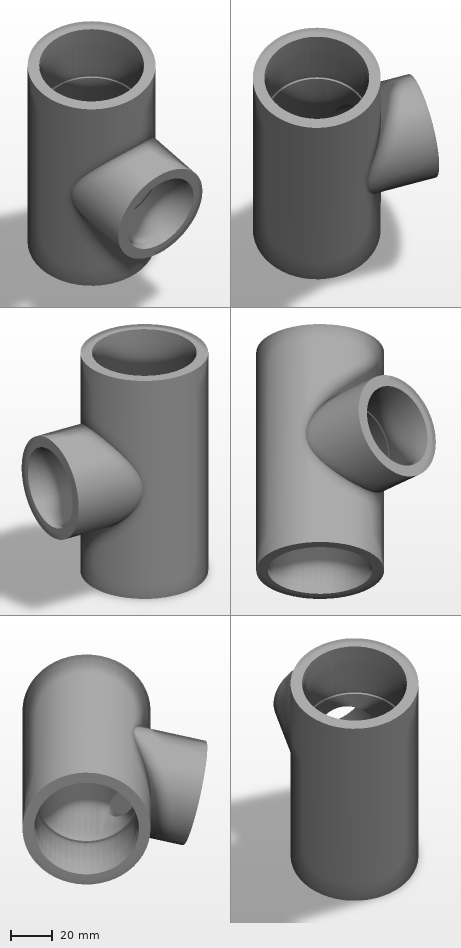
import cadquery as cq

run_length = 116.0
run_diameter = 61.0
run_bore = 48.0
run_socket_diameter = 50.0
run_socket_depth = 31.0

branch_reach = 53.0
branch_diameter = 51.0
branch_bore = 38.0
branch_socket_diameter = 40.0
branch_socket_depth = 26.0


def run_cylinder(diameter, length, start):
    """Vertical cylinder on the run axis, rising from height start."""
    return cq.Workplane("XY").workplane(offset=start).circle(diameter / 2).extrude(length)


def branch_cylinder(diameter, length, start=0):
    """Horizontal cylinder on the branch axis, going toward +X from start."""
    return cq.Workplane("YZ").workplane(offset=start).circle(diameter / 2).extrude(length)


half_run = run_length / 2
body = run_cylinder(run_diameter, run_length, -half_run)
body = body.union(branch_cylinder(branch_diameter, branch_reach))

body = body.cut(run_cylinder(run_bore, run_length, -half_run))
body = body.cut(branch_cylinder(branch_bore, branch_reach))

for socket_start in (-half_run, half_run - run_socket_depth):
    body = body.cut(run_cylinder(run_socket_diameter, run_socket_depth, socket_start))
branch_socket_start = branch_reach - branch_socket_depth
body = body.cut(branch_cylinder(branch_socket_diameter, branch_socket_depth, branch_socket_start))

result = body